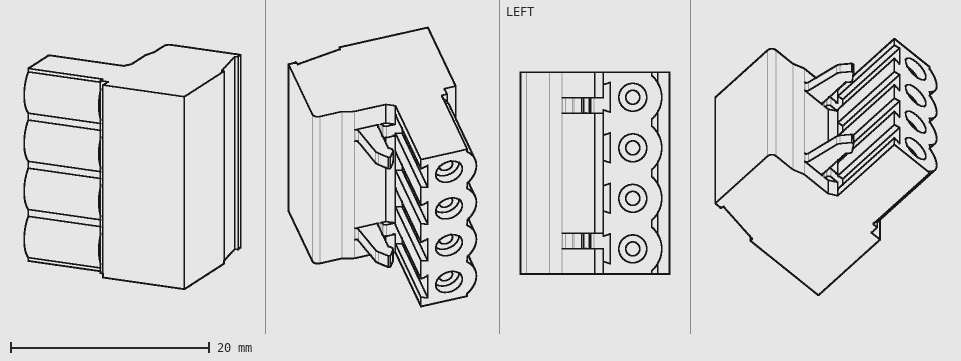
import cadquery as cq


pole_count = 4
pitch = 5.08
length = pole_count * pitch

plug_depth = 8.3
plug_top = 6.66
plug_web = 1.77
barrel_radius = 2.91
barrel_axis = 3.7

bore_radius = 1.4
bore_depth = 1.0
contact_radius = 0.7
contact_depth = plug_depth

key_depth = 0.71
key_mouth = 2.55
key_floor = 3.0

body_depth = 18.2
body_height = 15.0
body_front = 9.15
collar_bottom = 1.2
recess_front = 8.78
recess_low = 7.54
recess_high = 10.86
nose_bottom = 12.08
nose_radius = 0.6
back_step = 9.39
back_slope_low = 17.92
back_slope_high = 17.13
lip_back = 17.42
lip_barb = 17.5
lip_bottom = 14.3
lip_barb_bottom = 14.22
lip_undercut = 14.12

latch_width = 1.57
latch_spacing = 13.62
latch_root_top = 10.54
latch_bottom = 8.42
latch_shoulder = (4.98, 9.77)
latch_shoulder_radius = 0.8
latch_tip = 3.9
latch_tip_top = 8.84
latch_tip_bottom = 8.62
latch_hook = (4.8, 7.98)
latch_hook_end = 5.27
latch_hook_radius = 0.35
root_overlap = 0.5
root_radius_above = 0.3
root_radius_below = 0.14
pad_top = 7.92
pad_corner_radius = 0.3


def make_housing():
    """Housing prism, with its collar, latch recess and stepped back."""
    outline = (
        cq.Workplane("XY")
        .moveTo(body_front, 0)
        .lineTo(body_depth, 0)
        .lineTo(body_depth, back_step)
        .lineTo(back_slope_low, back_step)
        .lineTo(back_slope_high, lip_undercut)
        .lineTo(lip_barb, lip_barb_bottom)
        .lineTo(lip_back, lip_bottom)
        .lineTo(lip_back, body_height)
        .lineTo(body_front + nose_radius, body_height)
        .radiusArc((body_front, body_height - nose_radius), -nose_radius)
        .lineTo(body_front, nose_bottom)
        .lineTo(recess_front, recess_high)
        .lineTo(recess_front, recess_low)
        .lineTo(plug_depth, plug_top)
        .lineTo(plug_depth, collar_bottom)
        .lineTo(body_front, collar_bottom)
        .close()
    )
    return outline.extrude(length)


def make_plug():
    """Plug slab with one round barrel per pole bulging below it."""
    plug = cq.Workplane("XY").box(plug_depth, plug_top - plug_web, length, centered=False)
    plug = plug.translate((0, plug_web, 0))
    for z in pole_positions:
        barrel = cq.Workplane("YZ").center(barrel_axis, z).circle(barrel_radius).extrude(plug_depth)
        slab = cq.Workplane("XY").box(plug_depth, barrel_axis, pitch, centered=(False, False, True))
        plug = plug.union(barrel.intersect(slab.translate((0, 0, z))))
    return plug


def make_latch(z):
    """Latch arm with a hooked tip, centred on z."""
    arm = (
        cq.Workplane("XY")
        .moveTo(latch_hook_end, latch_bottom)
        .lineTo(recess_front - root_radius_below, latch_bottom)
        .radiusArc((recess_front, latch_bottom - root_radius_below), root_radius_below)
        .lineTo(recess_front + root_overlap, latch_bottom - root_radius_below)
        .lineTo(recess_front + root_overlap, recess_high)
        .lineTo(recess_front, recess_high)
        .lineTo(recess_front, latch_root_top)
        .lineTo(*latch_shoulder)
        .lineTo(latch_tip, latch_tip_top)
        .lineTo(latch_tip, latch_tip_bottom)
        .lineTo(*latch_hook)
        .close()
        .extrude(latch_width)
    )
    rounded_corners = [
        ((recess_front, latch_root_top), root_radius_above),
        (latch_shoulder, latch_shoulder_radius),
        (latch_hook, latch_hook_radius),
    ]
    for corner, radius in rounded_corners:
        edge = cq.selectors.NearestToPointSelector((*corner, latch_width / 2))
        arm = arm.edges(edge).fillet(radius)
    return arm.translate((0, 0, z - latch_width / 2))


def make_pad(z):
    """Stop pad in front of the recess, flush with the end of the plug."""
    pad = (
        cq.Workplane("XY")
        .moveTo(plug_depth, plug_top)
        .lineTo(plug_depth, pad_top - pad_corner_radius)
        .radiusArc((plug_depth + pad_corner_radius, pad_top), pad_corner_radius)
        .lineTo(recess_front - root_radius_below, pad_top)
        .radiusArc((recess_front, pad_top + root_radius_below), -root_radius_below)
        .lineTo(recess_front + root_overlap, pad_top + root_radius_below)
        .lineTo(recess_front + root_overlap, plug_top)
        .close()
        .extrude(latch_width)
    )
    return pad.translate((0, 0, z - latch_width / 2))


def make_bore(z):
    """Stepped contact bore, opening on the mating face."""
    wide = cq.Workplane("YZ").center(barrel_axis, z).circle(bore_radius).extrude(bore_depth)
    narrow = cq.Workplane("YZ").center(barrel_axis, z).circle(contact_radius).extrude(contact_depth)
    return wide.union(narrow)


def make_keyway(z):
    """Dovetail keyway, wider at its floor, running the depth of the plug."""
    return (
        cq.Workplane("YZ")
        .moveTo(plug_top, z - key_mouth / 2)
        .lineTo(plug_top, z + key_mouth / 2)
        .lineTo(plug_top - key_depth, z + key_floor / 2)
        .lineTo(plug_top - key_depth, z - key_floor / 2)
        .close()
        .extrude(plug_depth)
    )


pole_positions = [(pole + 0.5) * pitch for pole in range(pole_count)]
latch_positions = [(length - latch_spacing) / 2, (length + latch_spacing) / 2]

result = make_housing().union(make_plug())
for z in latch_positions:
    result = result.union(make_latch(z)).union(make_pad(z))
for z in pole_positions:
    result = result.cut(make_bore(z)).cut(make_keyway(z))